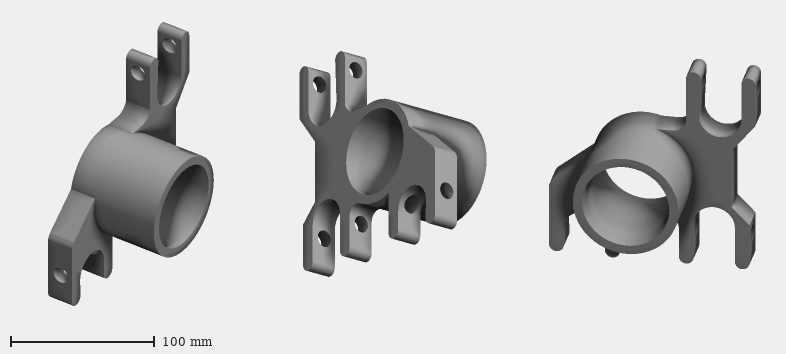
import cadquery as cq
import math

plate_thickness = 20.0
total_length = 70.0
tube_radius = 75 / 2
bore_diameter = 62.0
pin_diameter = 12.0
upper_pin_x, upper_pin_z = 10.1, 70.8
lower_pin_x, lower_pin_z = 10.5, -44.0

arm_a_outer, arm_a_inner = 81.5, 71.7
arm_b_inner, arm_b_outer = 42.9, 32.5
arm_a_tip_z, arm_b_tip_z = 78.3, 78.6
upper_slot_end = 41.5
upper_slot_z = 49.6
arm_a_base_z = 45.6

leg_a_outer, leg_a_inner = 77.5, 67.1
leg_b_inner, leg_b_outer = 37.7, 27.3
left_leg_tip_z = -63.1
left_slot_z = -36.2
leg_a_base_z = -33.1

leg_c_outer, leg_c_inner = -14.7, -25.1
leg_d_inner, leg_d_outer = -54.5, -65.0
leg_c_tip_z, leg_d_tip_z = -64.2, -63.5
right_slot_end = -55.0
right_slot_z = -50.7

body_edge = 64.8
body_top_z, body_bottom_z = 24.7, -20.0
shoulder_z = 35.8
shoulder_start_z = 43.3
shoulder_middle = (28.3, 37.7)
shoulder_end_y = 22.0
leg_fillet_radius = 7.4
slope_start_y = -36.5
slope_end = (-62.8, -13.0)
slope_corner = (-64.3, -15.3)
slope_foot_z = -16.8


def tube_z(y):
    """Height of the tube's outer circle above its axis at a given Y."""
    return math.sqrt(tube_radius**2 - y**2)


def half_round(sketch, start_y, end_y, base_z, direction):
    """Add a semicircle from start_y to end_y; direction is +1 for up, -1 for down."""
    middle_y = (start_y + end_y) / 2
    radius = abs(end_y - start_y) / 2
    return (
        sketch.lineTo(start_y, base_z)
        .threePointArc((middle_y, base_z + direction * radius), (end_y, base_z))
    )


def make_plate():
    fillet_y = leg_b_outer - leg_fillet_radius
    center_distance = tube_radius + leg_fillet_radius
    fillet_z = -math.sqrt(center_distance**2 - fillet_y**2)
    fillet_end_y = fillet_y * tube_radius / center_distance
    fillet_start_angle = math.atan2(-fillet_z, -fillet_y)
    fillet_middle_angle = fillet_start_angle / 2
    fillet_middle = (
        fillet_y + leg_fillet_radius * math.cos(fillet_middle_angle),
        fillet_z + leg_fillet_radius * math.sin(fillet_middle_angle),
    )

    outline = cq.Workplane("YZ").moveTo(arm_a_outer, arm_a_base_z)
    outline = half_round(outline, arm_a_outer, arm_a_inner, arm_a_tip_z, 1)
    outline = half_round(outline, arm_a_inner, upper_slot_end, upper_slot_z, -1)
    outline = half_round(outline, arm_b_inner, arm_b_outer, arm_b_tip_z, 1)

    ring_start_y = math.sqrt(tube_radius**2 - shoulder_z**2)
    ring_middle_y = (ring_start_y + slope_start_y) / 2
    outline = (
        outline.lineTo(arm_b_outer, shoulder_start_z)
        .threePointArc(shoulder_middle, (shoulder_end_y, shoulder_z))
        .lineTo(ring_start_y, shoulder_z)
        .threePointArc((ring_middle_y, tube_z(ring_middle_y)), (slope_start_y, tube_z(slope_start_y)))
        .lineTo(*slope_end)
        .lineTo(*slope_corner)
        .lineTo(leg_d_outer, slope_foot_z)
    )

    outline = half_round(outline, leg_d_outer, leg_d_inner, leg_d_tip_z, -1)
    outline = half_round(outline, right_slot_end, leg_c_inner, right_slot_z, 1)
    outline = half_round(outline, leg_c_inner, leg_c_outer, leg_c_tip_z, -1)
    outline = (
        outline.lineTo(leg_c_outer, -tube_z(leg_c_outer))
        .threePointArc((0, -tube_radius), (fillet_end_y, -tube_z(fillet_end_y)))
        .threePointArc(fillet_middle, (leg_b_outer, fillet_z))
    )

    outline = half_round(outline, leg_b_outer, leg_b_inner, left_leg_tip_z, -1)
    outline = half_round(outline, leg_b_inner, leg_a_inner, left_slot_z, 1)
    outline = half_round(outline, leg_a_inner, leg_a_outer, left_leg_tip_z, -1)
    outline = (
        outline.lineTo(leg_a_outer, leg_a_base_z)
        .lineTo(body_edge, body_bottom_z)
        .lineTo(body_edge, body_top_z)
        .close()
    )
    return outline.extrude(plate_thickness)


def make_pin_hole(x, z):
    """Cylinder along Y that passes through every arm or leg in its row."""
    half_length = arm_a_outer - leg_d_outer
    return cq.Workplane("XZ").center(x, z).circle(pin_diameter / 2).extrude(half_length, both=True)


tube = cq.Workplane("YZ").circle(tube_radius).extrude(total_length)
bore = cq.Workplane("YZ").circle(bore_diameter / 2).extrude(total_length)

result = make_plate().union(tube).cut(bore)
for pin_x, pin_z in ((upper_pin_x, upper_pin_z), (lower_pin_x, lower_pin_z)):
    result = result.cut(make_pin_hole(pin_x, pin_z))